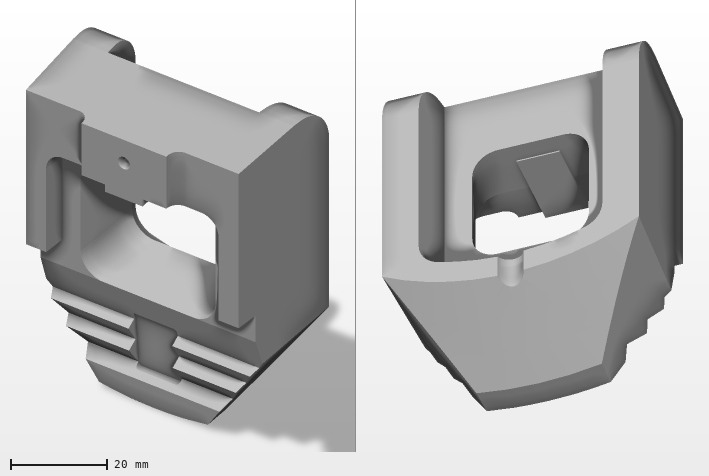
import cadquery as cq
import math


height = 76.6
tongue_face_depth = 34.0
pad_face_depth = 30.95
back_width = 57.0
side_draft = 3
top_slope = 5
horn_radius = 10
horn_flat_end_depth = 12.1

step_z = 35.6
step_depth = 25.1
toe_z = 28.8
tooth_valleys = [(22.2, 20.1), (21.7, 14.55), (20.6, 8.2)]
tooth_tips = [(24.3, 18.7), (24.15, 13), (23.5, 6.05)]
nose_depth = 23.1

flank_top_z = 23.8
flank_bottom_z = 1.1
flank_bottom_width = 27.3
nose_axis_z = height
nose_radius = nose_axis_z
nose_back_radius = 60.0
nose_edge_radius = 76.4
nose_edge_depth = 17.25

tongue_width = 21.45
tongue_fillet = 2.7
tongue_bottom_z = 61.15
tab_width = 9.5
tab_height = 1.5

recess_width = 43.15
recess_corner = 4.2
recess_draft = 2

window_corner = 5.7
window_front_width = 34.0
window_front_bottom_z = 28.8
window_back_width = 25.9
window_back_bottom_z = 33.5
window_back_top_z = 61.6

pocket_depth = 12.1
pocket_width = 40.8
pocket_draft = 6
pocket_bottom_radius = 54.8
pocket_corner = 5.9
groove_radius = 3.1
groove_depth = 2.1

plate_width = 11.0
plate_top_z = 22.0
plate_bottom_z = 7.2
plate_top_depth = 21.6
plate_bottom_depth = 20.3
plate_corner = 0.8

mark_z = 68.8
mark_radius = 1.5
mark_floor_radius = 0.6
mark_depth = 1.15

clearance = 3.8


def tangent(degrees):
    return math.tan(math.radians(degrees))


def top_z_at(depth):
    """Height of the sloping top face."""
    return height - (depth - horn_flat_end_depth) * tangent(top_slope)


def frontward(plane_depth):
    """Plane at a given depth: local x is X, local y is Z, and the normal points to the front."""
    return cq.Workplane("XZ", origin=(0, -plane_depth, 0))


def side_silhouette():
    """Side profile swept across the whole width."""
    arc_drop = horn_radius * (1 - math.sqrt(0.5))
    profile = (
        cq.Workplane("YZ")
        .moveTo(0, 0)
        .lineTo(0, height - horn_radius)
        .threePointArc((-arc_drop, height - arc_drop), (-horn_radius, height))
        .lineTo(-horn_flat_end_depth, height)
        .lineTo(-tongue_face_depth, top_z_at(tongue_face_depth))
        .lineTo(-tongue_face_depth, tongue_bottom_z)
        .lineTo(-pad_face_depth, tongue_bottom_z)
        .lineTo(-pad_face_depth, step_z)
        .lineTo(-step_depth, step_z)
        .lineTo(-step_depth, toe_z)
    )
    for valley, tip in zip(tooth_valleys, tooth_tips):
        for depth, z in (valley, tip):
            profile = profile.lineTo(-depth, z)
    return profile.lineTo(-nose_depth, 0).close().extrude(back_width / 2, both=True)


def plan_silhouette():
    """Drafted sides and the tongue with its concave fillets, swept up the height."""
    back = back_width / 2
    front = back - pad_face_depth * tangent(side_draft)
    tongue = tongue_width / 2
    fillet_end = pad_face_depth + tongue_fillet
    return (
        cq.Workplane("XY")
        .moveTo(-back, 0)
        .lineTo(-front, -pad_face_depth)
        .lineTo(-tongue - tongue_fillet, -pad_face_depth)
        .radiusArc((-tongue, -fillet_end), tongue_fillet)
        .lineTo(-tongue, -tongue_face_depth)
        .lineTo(tongue, -tongue_face_depth)
        .lineTo(tongue, -fillet_end)
        .radiusArc((tongue + tongue_fillet, -pad_face_depth), tongue_fillet)
        .lineTo(front, -pad_face_depth)
        .lineTo(back, 0)
        .close()
        .extrude(height)
    )


def front_silhouette():
    """Outline with the flanks converging on the nose, swept through the depth."""
    back = back_width / 2
    run_per_rise = (back - flank_bottom_width / 2) / (flank_top_z - flank_bottom_z)
    bottom = flank_bottom_width / 2 - flank_bottom_z * run_per_rise
    outline = [
        (-bottom, 0),
        (bottom, 0),
        (back, flank_top_z),
        (back, height),
        (-back, height),
        (-back, flank_top_z),
    ]
    return frontward(0).polyline(outline).close().extrude(tongue_face_depth)


def nose_envelope():
    """Turned envelope that rounds the nose and bevels it towards the back."""
    return (
        cq.Workplane("XY", origin=(0, 0, nose_axis_z))
        .polyline([
            (0, 0),
            (nose_back_radius, 0),
            (nose_edge_radius, -nose_edge_depth),
            (nose_radius, -nose_depth),
            (nose_radius, -tongue_face_depth),
            (0, -tongue_face_depth),
        ])
        .close()
        .revolve(360, (0, 0, 0), (0, 1, 0))
    )


def tongue_tab():
    """Tab whose underside rises parallel to the top face until it runs out."""
    bottom_z = tongue_bottom_z - tab_height
    root_z = tongue_bottom_z + clearance
    root_depth = tongue_face_depth - tab_height / tangent(top_slope)
    return (
        cq.Workplane("YZ")
        .polyline([
            (-tongue_face_depth, root_z),
            (-tongue_face_depth, bottom_z),
            (-root_depth, tongue_bottom_z),
            (-root_depth, root_z),
        ])
        .close()
        .extrude(tab_width / 2, both=True)
    )


def recess():
    """Recess around the window, level with the step and open downwards."""
    bottom_z = step_z - clearance
    tool_height = tongue_bottom_z - bottom_z
    return (
        frontward(step_depth)
        .center(0, bottom_z + tool_height / 2)
        .sketch()
        .rect(recess_width, tool_height)
        .vertices(">Y")
        .fillet(recess_corner)
        .finalize()
        .extrude(tongue_face_depth - step_depth, taper=-recess_draft)
    )


def window_section(depth, width, bottom_z, top_z):
    middle_z = (bottom_z + top_z) / 2
    return (
        cq.Sketch()
        .rect(width, top_z - bottom_z)
        .vertices()
        .fillet(window_corner)
        .moved(cq.Location(frontward(depth).plane) * cq.Location(cq.Vector(0, middle_z, 0)))
    )


def window():
    back = window_section(pocket_depth, window_back_width, window_back_bottom_z, window_back_top_z)
    front = window_section(step_depth, window_front_width, window_front_bottom_z, tongue_bottom_z)
    return cq.Workplane("XY").placeSketch(back, front).loft(ruled=True)


def pocket_outline(plane_depth):
    """Pocket outline at a given depth; its sides and curved bottom close in with the draft."""
    inset = plane_depth * tangent(pocket_draft)
    side = pocket_width / 2 - inset
    radius = pocket_bottom_radius - inset
    corner_z = nose_axis_z - math.sqrt(radius**2 - side**2)
    top_z = height + clearance
    return (
        frontward(plane_depth)
        .moveTo(-side, top_z)
        .lineTo(-side, corner_z)
        .threePointArc((0, nose_axis_z - radius), (side, corner_z))
        .lineTo(side, top_z)
        .close()
        .wire()
        .val()
    )


def pocket():
    outlines = [pocket_outline(0), pocket_outline(pocket_depth)]
    solid = cq.Solid.makeLoft(outlines, True)
    lower_corners = cq.selectors.BoxSelector(
        (-back_width, -0.75 * pocket_depth, 0),
        (back_width, -0.25 * pocket_depth, height / 2),
    )
    return cq.Workplane(solid).edges(lower_corners).fillet(pocket_corner)


def back_groove():
    """Round groove down the middle of the back face."""
    return (
        cq.Workplane("XY")
        .center(0, groove_radius - groove_depth)
        .circle(groove_radius)
        .extrude(height)
    )


def number_plate():
    """Rounded rectangular sink with a sloping floor."""
    plate_height = plate_top_z - plate_bottom_z
    sink = (
        cq.Workplane("YZ")
        .polyline([
            (-plate_bottom_depth, plate_bottom_z),
            (-plate_top_depth, plate_top_z),
            (-tongue_face_depth, plate_top_z),
            (-tongue_face_depth, plate_bottom_z),
        ])
        .close()
        .extrude(plate_width / 2, both=True)
    )
    return sink.edges("|Y").fillet(plate_corner)


def centre_mark():
    """Shallow conical mark with a flat floor."""
    return (
        frontward(tongue_face_depth - mark_depth)
        .center(0, mark_z)
        .circle(mark_floor_radius)
        .workplane(offset=mark_depth)
        .circle(mark_radius)
        .loft()
    )


body = side_silhouette().intersect(plan_silhouette())
body = body.intersect(front_silhouette()).intersect(nose_envelope())
body = body.cut(recess()).cut(window()).union(tongue_tab())
result = body.cut(pocket()).cut(back_groove()).cut(number_plate()).cut(centre_mark())